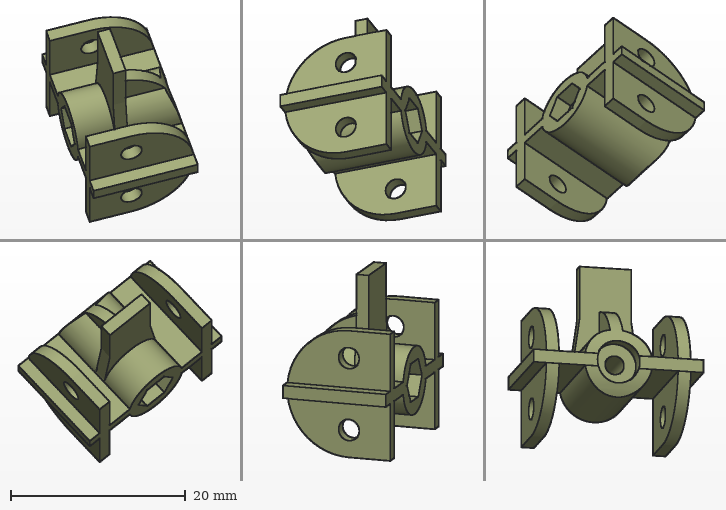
import cadquery as cq
import math

total_width = 20.0
total_height = 20.25
round_radius = 7.5
front_length = 5.0
wall = 1.5

web_overhang = 1.5
plate_hole_diameter = 2.5
plate_hole_height = 4.25

hub_diameter = 8.0
bore_diameter = 2.2
counterbore_diameter = 5.0
counterbore_depth = 2.0
hex_across_flats = 4.52
hex_depth = 2.0

blade_front = -0.5
blade_width = 6.1
blade_taper_top = 6.5

front_y = -front_length
rear_y = round_radius
length = rear_y - front_y
hub_radius = hub_diameter / 2
blade_rear = blade_front + wall
blade_top = total_height - round_radius


def rounded_profile(x_start, width):
    """D-shaped slab: square at the front, round at the rear."""
    return (
        cq.Workplane("YZ", origin=(x_start, 0, 0))
        .moveTo(front_y, -round_radius)
        .lineTo(0, -round_radius)
        .threePointArc((rear_y, 0), (0, round_radius))
        .lineTo(front_y, round_radius)
        .close()
        .extrude(width)
    )


def rod(diameter, start_y, rod_length):
    """Cylinder on the hub axis, running rearward from start_y."""
    plane = cq.Workplane("XZ", origin=(0, start_y, 0))
    return plane.circle(diameter / 2).extrude(-rod_length)


def side_plate(x_start):
    """Rounded plate with one hole above and one below the web."""
    holes = (
        cq.Workplane("YZ", origin=(x_start, 0, 0))
        .pushPoints([(0, plate_hole_height), (0, -plate_hole_height)])
        .circle(plate_hole_diameter / 2)
        .extrude(wall)
    )
    return rounded_profile(x_start, wall).cut(holes)


def hub():
    """Cylinder whose rear end follows the rounded profile."""
    envelope = rounded_profile(-hub_radius, hub_diameter)
    return rod(hub_diameter, front_y, length).intersect(envelope)


def blade():
    """Upright blade, flaring to the hub's full width at the hub axis."""
    half_width = blade_width / 2
    outline = [
        (-hub_radius, 0),
        (-half_width, blade_taper_top),
        (-half_width, blade_top),
        (half_width, blade_top),
        (half_width, blade_taper_top),
        (hub_radius, 0),
    ]
    return cq.Workplane("XZ", origin=(0, blade_front, 0)).polyline(outline).close().extrude(-wall)


def rear_rib():
    """Round-backed rib joining the blade to the top of the hub."""
    region = cq.Workplane("XY").box(
        wall, rear_y - blade_rear, round_radius, centered=(True, False, False)
    ).translate((0, blade_rear, 0))
    return rounded_profile(-wall / 2, wall).intersect(region)


def hub_openings():
    """Through bore, hexagonal front pocket and round rear counterbore."""
    hex_across_corners = hex_across_flats / math.cos(math.pi / 6)
    hex_pocket = (
        cq.Workplane("XZ", origin=(0, front_y, 0))
        .polygon(6, hex_across_corners)
        .extrude(-hex_depth)
    )
    bore = rod(bore_diameter, front_y, length)
    counterbore = rod(counterbore_diameter, rear_y - counterbore_depth, counterbore_depth)
    return bore.union(hex_pocket).union(counterbore)


web = cq.Workplane("XY").box(total_width, length, wall).translate((0, (front_y + rear_y) / 2, 0))

plate_outer_x = total_width / 2 - web_overhang
result = (
    web.union(side_plate(-plate_outer_x))
    .union(side_plate(plate_outer_x - wall))
    .union(hub())
    .union(blade())
    .union(rear_rib())
    .cut(hub_openings())
)